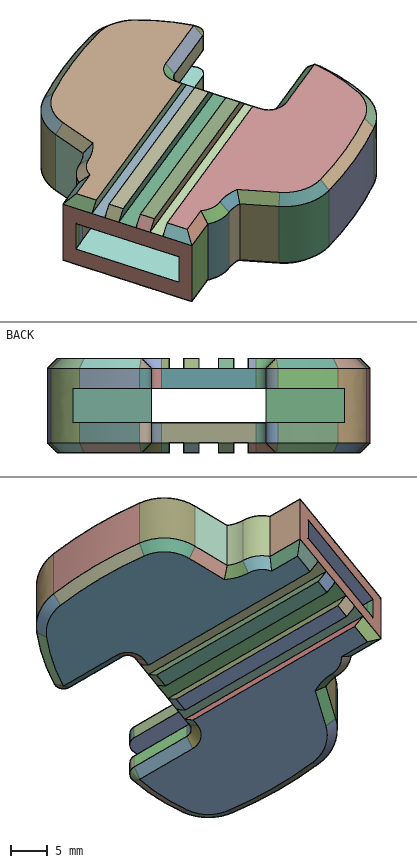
import cadquery as cq

half_width = 21.9
length = 40.7
thickness = 12.85
chamfer = 1.35

neck_half_width = 9.73
neck_length = 4.95
bulge_half_width = 11.25
bulge_y = 8.35
bulge_mid = (10.85, 6.53)
shoulder_start = (11.85, 10.55)
throat_mid = (11.45, 9.5)

corner_half_width = 20.8
front_corner_y = 13.85
rear_corner_y = 36.0
side_mid_y = 25.2
rear_edge_mid = (14.68, 39.25)
prong_tip_y = 40.9
corner_radius = 7.25

fork_half_width = 7.75
fork_floor_y = 29.3
tip_radius = 1.4
fork_radius = 1.3

cavity_height = 4.6
mouth_half_width = 7.75
mouth_length = 1.0
slot_half_width = 7.8
slot_start_y = 2.2
pocket_half_width = 18.4
pocket_front_y = 17.52

groove_centers_and_widths = [(-4.4, 1.93), (0, 2.6), (4.4, 1.93)]


def make_blank():
    """Symmetric outline, sharp at the corners that are rounded afterwards."""
    outline = (
        cq.Workplane("XY")
        .workplane(offset=-thickness / 2)
        .moveTo(0, 0)
        .lineTo(neck_half_width, 0)
        .lineTo(neck_half_width, neck_length)
        .threePointArc(bulge_mid, (bulge_half_width, bulge_y))
        .threePointArc(throat_mid, shoulder_start)
        .lineTo(corner_half_width, front_corner_y)
        .threePointArc((half_width, side_mid_y), (corner_half_width, rear_corner_y))
        .threePointArc(rear_edge_mid, (fork_half_width, prong_tip_y))
        .lineTo(fork_half_width, fork_floor_y)
        .lineTo(0, fork_floor_y)
        .mirrorY()
    )
    return outline.extrude(thickness)


def round_corners(body, x, y, radius):
    """Round the pair of upright edges at (x, y) and (-x, y)."""
    reach = 0.2
    for side in (-1, 1):
        near_edge = cq.selectors.BoxSelector(
            (side * x - reach, y - reach, -reach),
            (side * x + reach, y + reach, reach),
        )
        body = body.edges("|Z").edges(near_edge).fillet(radius)
    return body


def make_slot():
    """Slot from the front end to the pocket, flaring slightly behind its mouth."""
    return (
        cq.Workplane("XY")
        .workplane(offset=-cavity_height / 2)
        .moveTo(0, 0)
        .lineTo(mouth_half_width, 0)
        .lineTo(mouth_half_width, mouth_length)
        .lineTo(slot_half_width, slot_start_y)
        .lineTo(slot_half_width, pocket_front_y)
        .lineTo(0, pocket_front_y)
        .mirrorY()
        .extrude(cavity_height)
    )


def make_pocket():
    """Wide pocket, open through the rear edges of both prongs."""
    depth = prong_tip_y - pocket_front_y
    pocket = cq.Workplane("XY").box(2 * pocket_half_width, depth, cavity_height)
    return pocket.translate((0, pocket_front_y + depth / 2, 0))


def make_grooves():
    """Grooves as deep as the chamfer, running the full length of both large faces."""
    grooves = cq.Workplane("XY")
    for center, width in groove_centers_and_widths:
        groove = cq.Workplane("XY").box(width, length, chamfer).translate((center, length / 2, 0))
        for side in (-1, 1):
            grooves = grooves.add(groove.translate((0, 0, side * (thickness - chamfer) / 2)))
    return grooves.combine()


body = make_blank()
body = round_corners(body, corner_half_width, front_corner_y, corner_radius)
body = round_corners(body, corner_half_width, rear_corner_y, corner_radius)
body = round_corners(body, fork_half_width, prong_tip_y, tip_radius)
body = round_corners(body, fork_half_width, fork_floor_y, fork_radius)
body = body.faces("<Z or >Z").chamfer(chamfer)

result = body.cut(make_slot()).cut(make_pocket()).cut(make_grooves())